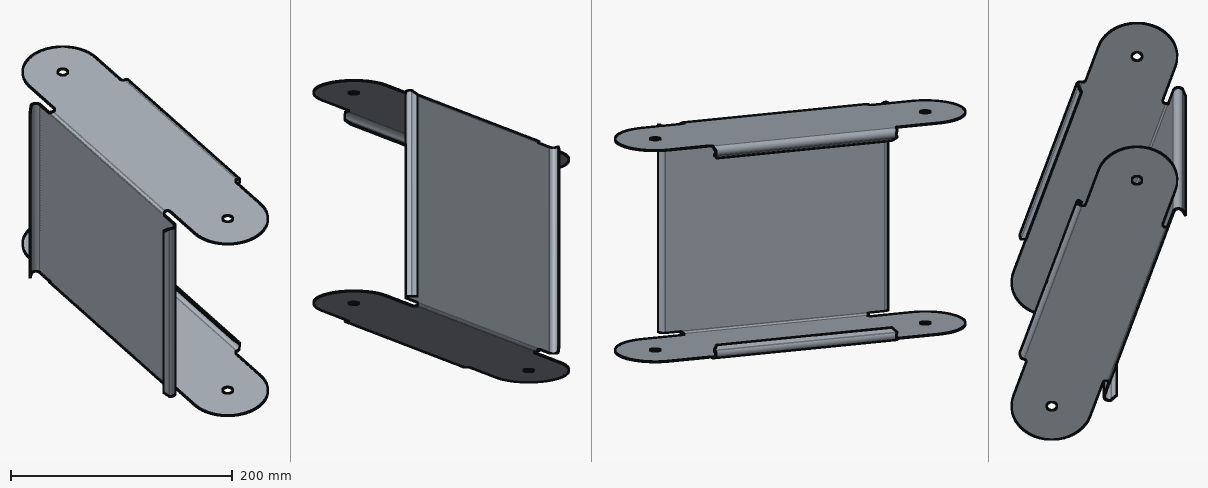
import cadquery as cq
import math

thickness = 1.0
length = 331.0
height = 200.0
depth = 98.0
half_height = height / 2
back_y = depth / 2

wing_radius = 36.5
wing_center_y = 5.0
wing_back_y = wing_center_y + wing_radius
wing_front_y = wing_center_y - wing_radius
hole_diameter = 9.3
hole_spacing = length - 2 * wing_radius

curl_radius = 5.0
curl_angle = math.radians(135)
lip_chamfer = 4.3
curl_corner = 2.0

web_front_y = -37.7
web_half_width = 110.0
web_back_y = web_front_y + thickness
web_half_height = 97.3
bend_radius = 2.5

curl_drop = web_back_y + depth / 2
lip_length = (curl_drop - curl_radius) / math.sin(curl_angle) - curl_radius

tab_half_width = 87.7
relief_radius = 3.0
bend_half_width = 90.0
back_tab_y = back_y - curl_radius
blend_radius = back_tab_y - wing_back_y


def curl_points(radius):
    """Middle and end of a curl arc that starts at (0, 0) heading along +u."""
    def on_arc(angle):
        return (radius * math.sin(angle), radius * math.cos(angle))
    return on_arc(curl_angle / 2), on_arc(curl_angle)


def curl_section(plane, center_u, center_v):
    """Closed section of a curl and its lip, rolling from +v round to +u and down."""
    inner_radius = curl_radius - thickness
    outer_mid, outer_end = curl_points(curl_radius)
    inner_mid, inner_end = curl_points(inner_radius)
    lip_u = lip_length * math.cos(curl_angle)
    lip_v = -lip_length * math.sin(curl_angle)

    def place(point, extra_u=0.0, extra_v=0.0):
        return (center_u + point[0] + extra_u, center_v + point[1] + extra_v)

    return (
        cq.Workplane(plane)
        .moveTo(*place((0, curl_radius)))
        .threePointArc(place(outer_mid), place(outer_end))
        .lineTo(*place(outer_end, lip_u, lip_v))
        .lineTo(*place(inner_end, lip_u, lip_v))
        .lineTo(*place(inner_end))
        .threePointArc(place(inner_mid), place((0, inner_radius)))
        .close()
    )


def block(x_min, x_max, y_min, y_max, z_min, z_max):
    return cq.Workplane("XY").box(
        x_max - x_min, y_max - y_min, z_max - z_min, centered=False
    ).translate((x_min, y_min, z_min))


def corner_cutters(plane, half_width, tip, size, inward, span):
    """Triangular prisms that chamfer both corners of an edge at v = tip.

    The material lies above the edge when inward is 1, and below it when inward is -1.
    """
    cutters = cq.Workplane(plane)
    for side in (-1, 1):
        corner = [
            (side * half_width, tip),
            (side * (half_width - size), tip),
            (side * half_width, tip + inward * size),
        ]
        cutters = cutters.add(cq.Workplane(plane).polyline(corner).close().extrude(span, both=True))
    return cutters


def make_channel():
    """Web and wing middles, as one U section with rounded bends."""
    outer = block(
        -tab_half_width - relief_radius, tab_half_width + relief_radius,
        web_front_y, wing_back_y, -half_height, half_height,
    ).edges("|X and <Y").fillet(bend_radius)
    inner = block(
        -length, length, web_front_y + thickness, length,
        -half_height + thickness, half_height - thickness,
    ).edges("|X and <Y").fillet(bend_radius - thickness)
    channel = outer.cut(inner)

    for side in (-1, 1):
        for end in (-1, 1):
            trim = cq.Workplane("XY").box(length, 2 * relief_radius, half_height).translate((
                side * (bend_half_width + length / 2),
                wing_front_y - 2 * relief_radius,
                end * (web_half_height + half_height / 2),
            ))
            channel = channel.cut(trim)
    return channel


def make_wing():
    """Upper round-ended flange with its mounting holes."""
    return (
        cq.Workplane("XY")
        .workplane(offset=half_height - thickness)
        .center(0, wing_center_y)
        .slot2D(length, 2 * wing_radius)
        .extrude(thickness)
        .faces(">Z").workplane(origin=(0, wing_center_y, 0))
        .pushPoints([(-hole_spacing / 2, 0), (hole_spacing / 2, 0)])
        .hole(hole_diameter)
    )


def make_back_curl():
    """Tab behind the upper wing, curled downwards."""
    half_width = tab_half_width
    curl = curl_section("YZ", back_tab_y, half_height - curl_radius).extrude(half_width, both=True)
    tab = block(
        -half_width, half_width, wing_center_y, back_tab_y, half_height - thickness, half_height
    )
    for side in (-1, 1):
        blend = block(
            -blend_radius, blend_radius, wing_back_y - thickness, wing_back_y + blend_radius,
            half_height - thickness, half_height,
        ).translate((side * half_width, 0, 0))
        round_cut = (
            cq.Workplane("XY")
            .center(side * (half_width + blend_radius), wing_back_y + blend_radius)
            .circle(blend_radius)
            .extrude(height)
        )
        tab = tab.union(blend.cut(round_cut))
    lip_tip = half_height - curl_drop
    curl = curl.cut(corner_cutters("XZ", half_width, lip_tip, lip_chamfer, 1, depth))
    curl = curl.cut(corner_cutters("XY", half_width, back_y, curl_corner, -1, height))
    return tab.union(curl)


def make_web_side(cut_ends):
    """Right half of the web, with its edge curled forwards and chosen lip corners cut.

    An end of 1 cuts the upper corner of the lip and -1 the lower one.
    """
    center_x = web_half_width - curl_radius
    curl = (
        curl_section("XY", center_x, web_back_y - curl_radius)
        .extrude(web_half_height, both=True)
    )
    lip_tip = web_back_y - curl_drop
    for end in cut_ends:
        corner = [
            (lip_tip, end * web_half_height),
            (lip_tip + lip_chamfer, end * web_half_height),
            (lip_tip, end * (web_half_height - lip_chamfer)),
        ]
        curl = curl.cut(cq.Workplane("YZ").polyline(corner).close().extrude(length))
    plate = block(0, center_x, web_front_y, web_back_y, -web_half_height, web_half_height)
    return plate.union(curl)


def make_reliefs():
    """Round-ended slots between the wings and the shoulders of the web."""
    slot_length = web_half_width - tab_half_width
    slot = (
        cq.Workplane("XY")
        .center(tab_half_width + slot_length / 2, wing_front_y - relief_radius)
        .slot2D(slot_length, 2 * relief_radius)
        .extrude(half_height - web_half_height)
        .translate((0, 0, web_half_height))
    )
    slots = slot.union(slot.mirror("YZ"))
    return slots.union(slots.mirror("XY"))


wing = make_wing().union(make_back_curl())
right_web = make_web_side(cut_ends=(-1, 1))
left_web = make_web_side(cut_ends=(1,)).mirror("YZ")
result = make_channel().union(wing).union(wing.mirror("XY"))
result = result.union(right_web).union(left_web)
result = result.cut(make_reliefs())